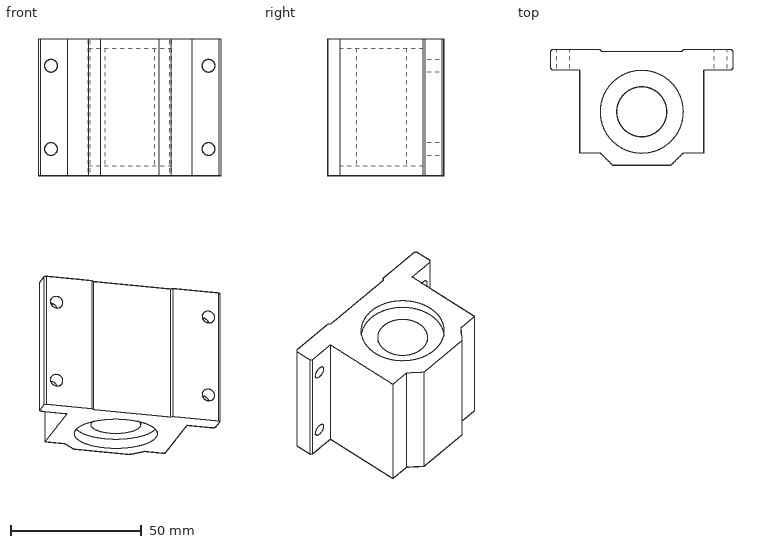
import cadquery as cq

width = 69.85
depth = 44.4
height = 52.4

back_y = 23.9
flange_thickness = 7.95
corner_chamfer = 0.7
relief_depth = 0.8
relief_width = 30.6

body_width = 47.65
rib_base_width = 31.7
rib_height = 4.75
rib_top_width = rib_base_width - 2 * rib_height

bore_diameter = 19.1
counterbore_diameter = 31.8
counterbore_depth = 3.7

hole_diameter = 4.8
hole_spacing_x = 60.3
hole_spacing_z = 31.85

front_y = back_y - depth
body_front_y = front_y + rib_height
flange_front_y = back_y - flange_thickness
relief_y = back_y - relief_depth


def make_block():
    """Extrude the symmetric profile, drawn as its right half and mirrored."""
    right_half = [
        (0, front_y),
        (rib_top_width / 2, front_y),
        (rib_base_width / 2, body_front_y),
        (body_width / 2, body_front_y),
        (body_width / 2, flange_front_y),
        (width / 2 - corner_chamfer, flange_front_y),
        (width / 2, flange_front_y + corner_chamfer),
        (width / 2, back_y - corner_chamfer),
        (width / 2 - corner_chamfer, back_y),
        (relief_width / 2 + relief_depth, back_y),
        (relief_width / 2, relief_y),
        (0, relief_y),
    ]
    left_half = [(-x, y) for x, y in reversed(right_half[1:-1])]
    return cq.Workplane("XY").polyline(right_half + left_half).close().extrude(height)


def cut_bore(block):
    """Cut the through bore and both counterbores."""
    bore = cq.Workplane("XY").circle(bore_diameter / 2).extrude(height)
    block = block.cut(bore)
    for bottom_z in (0, height - counterbore_depth):
        counterbore = (
            cq.Workplane("XY", origin=(0, 0, bottom_z))
            .circle(counterbore_diameter / 2)
            .extrude(counterbore_depth)
        )
        block = block.cut(counterbore)
    return block


def cut_mounting_holes(block):
    """Drill the four holes through the flanges along Y."""
    holes = (
        cq.Workplane("XZ", origin=(0, back_y, height / 2))
        .rarray(hole_spacing_x, hole_spacing_z, 2, 2)
        .circle(hole_diameter / 2)
        .extrude(flange_thickness)
    )
    return block.cut(holes)


result = cut_mounting_holes(cut_bore(make_block()))